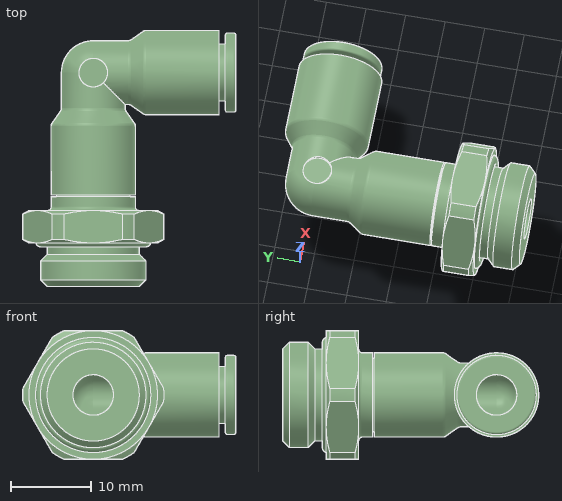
import cadquery as cq
import math


stem_length = 26.6
arm_length = 17.75

elbow_radius = 3.98
body_radius = 5.25
stem_shoulder_start = 4.65
arm_shoulder_start = 4.55
shoulder_length = 1.8
shoulder_blend = 0.65
bore_radius = 2.52

badge_radius = 1.78
badge_floor = 3.57

arm_body_end = 15.65
collar_neck_radius = 3.57
collar_radius = 4.95
collar_width = 1.35
collar_rounding = 0.3

thread_radius = 6.55
thread_chamfer = 0.83
thread_end = 3.2
relief_radius = thread_radius - thread_chamfer
relief_start = thread_end + thread_chamfer
hex_start = 5.4
hex_end = 9.45
stem_collar_end = 11.18
swivel_gap = 0.2
swivel_radius = 4.6
stem_collar_fillet = 0.45

seal_outer_radius = 7.2
seal_tube_radius = 0.73
seal_protrusion = 0.5

across_flats = 16.0
corner_radius = 8.8
hex_chamfer_height = 0.45


def stem_y(distance):
    """Y coordinate at a distance from the threaded end."""
    return distance - stem_length


def cylinder_along_y(radius, start, end):
    """Cylinder on the stem axis between two distances from the threaded end."""
    plane = cq.Workplane("XZ", origin=(0, stem_y(start), 0))
    return plane.circle(radius).extrude(start - end)


def make_leg(body_end, shoulder_start):
    """Elbow tube along +X widening into a round body, with a blended shoulder."""
    shoulder_end = shoulder_start + shoulder_length
    leg = (
        cq.Workplane("XY")
        .lineTo(0, elbow_radius)
        .lineTo(shoulder_start, elbow_radius)
        .lineTo(shoulder_end, body_radius)
        .lineTo(body_end, body_radius)
        .lineTo(body_end, 0)
        .close()
        .revolve(360, (0, 0, 0), (1, 0, 0))
    )
    margin = shoulder_length / 2
    shoulder_edges = cq.selectors.BoxSelector(
        (shoulder_start - margin, -body_radius - margin, -body_radius - margin),
        (shoulder_end + margin, body_radius + margin, body_radius + margin),
        boundingbox=True,
    )
    return leg.edges("%CIRCLE").edges(shoulder_edges).fillet(shoulder_blend)


def make_release_collar():
    """Narrow neck and rounded disc at the end of the arm."""
    neck = cq.Workplane("YZ").workplane(offset=arm_body_end).circle(collar_neck_radius)
    neck = neck.extrude(arm_length - arm_body_end)
    disc = cq.Workplane("YZ").workplane(offset=arm_length - collar_width)
    disc = disc.circle(collar_radius).extrude(collar_width)
    return neck.union(disc.edges().fillet(collar_rounding))


def make_hexagon():
    """Hexagon with rounded-off corners and conical chamfers on both faces."""
    height = hex_end - hex_start
    prism = (
        cq.Workplane("XZ", origin=(0, stem_y(hex_start), 0))
        .polygon(6, across_flats / math.cos(math.pi / 6))
        .extrude(-height)
    )
    envelope = cylinder_along_y(corner_radius, hex_start, hex_end)
    envelope = envelope.edges().chamfer(hex_chamfer_height, corner_radius - across_flats / 2)
    return prism.intersect(envelope)


def make_seal():
    """Sealing ring partly sunk in the hexagon face."""
    centre_radius = seal_outer_radius - seal_tube_radius
    centre_y = stem_y(hex_start) - seal_protrusion + seal_tube_radius
    return (
        cq.Workplane("XY")
        .center(centre_radius, centre_y)
        .circle(seal_tube_radius)
        .revolve(360, (-centre_radius, 0, 0), (-centre_radius, 1, 0))
    )


def make_stem():
    """Thread, relief, collar behind the hexagon and swivel core."""
    thread = (
        cq.Workplane("XY")
        .moveTo(0, stem_y(0))
        .lineTo(relief_radius, stem_y(0))
        .lineTo(thread_radius, stem_y(thread_chamfer))
        .lineTo(thread_radius, stem_y(thread_end))
        .lineTo(relief_radius, stem_y(relief_start))
        .lineTo(relief_radius, stem_y(hex_start))
        .lineTo(0, stem_y(hex_start))
        .close()
        .revolve(360, (0, 0, 0), (0, 1, 0))
    )
    collar = cylinder_along_y(body_radius, hex_end, stem_collar_end)
    core = cylinder_along_y(swivel_radius, hex_end, stem_collar_end + swivel_gap)
    nut = make_hexagon().union(collar)
    collar_circles = cq.selectors.RadiusNthSelector(0)
    nut = nut.edges("%CIRCLE").edges(collar_circles).edges("<Y").fillet(stem_collar_fillet)
    return thread.union(nut).union(make_seal()).union(core)


def make_bore():
    """Through passage turning at the elbow."""
    stem_bore = cylinder_along_y(bore_radius, 0, stem_length)
    arm_bore = cq.Workplane("YZ").circle(bore_radius).extrude(arm_length)
    return stem_bore.union(arm_bore).union(cq.Workplane("XY").sphere(bore_radius))


def make_badge():
    """Cutter leaving a flat round floor on top of the elbow."""
    return cq.Workplane("XY", origin=(0, 0, badge_floor)).circle(badge_radius).extrude(elbow_radius)


arm = make_leg(arm_body_end, arm_shoulder_start)
swivel_body_end = stem_length - stem_collar_end - swivel_gap
swivel_body = make_leg(swivel_body_end, stem_shoulder_start).rotate((0, 0, 0), (0, 0, 1), -90)

result = (
    arm.union(swivel_body)
    .union(cq.Workplane("XY").sphere(elbow_radius))
    .union(make_release_collar())
    .union(make_stem())
    .cut(make_bore())
    .cut(make_badge())
)